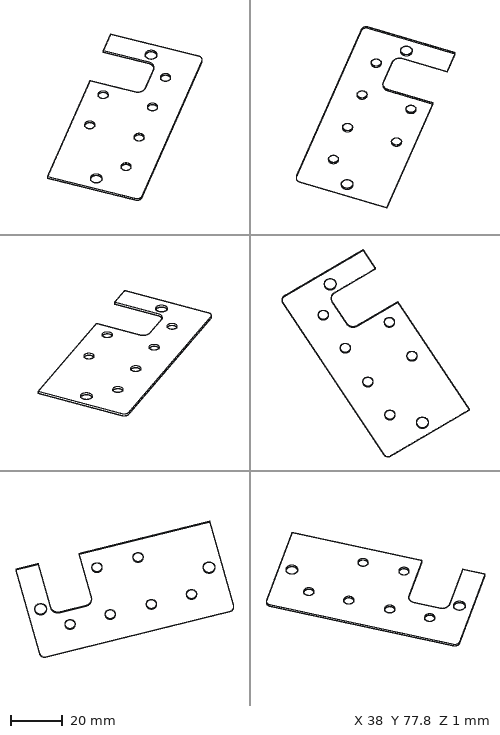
import cadquery as cq

width = 38.0
length = 77.85
thickness = 1.0
corner_radius = 1.95

notch_end_x = 2.6
notch_bottom_y = 13.55
notch_top_y = 29.9
notch_radius = 2.95

large_diameter = 4.6
large_x = -0.7
large_y = 33.8
small_diameter = 4.0
right_column_x = 8.3
left_column_x = -11.8
inner_row_y = 8.25
outer_row_y = 24.4


def mirrored_pairs(points):
    """Return every point together with its mirror image in Y."""
    return [(x, side * y) for x, y in points for side in (1, -1)]


def make_plate():
    """Flat plate with only its +X corners rounded."""
    plate = cq.Workplane("XY").box(width, length, thickness, centered=(True, True, False))
    return plate.edges("|Z and >X").fillet(corner_radius)


def make_notch():
    """Cutter for the side notch, with rounded inner corners."""
    notch = cq.Workplane("XY").box(
        notch_end_x + width / 2,
        notch_top_y - notch_bottom_y,
        thickness,
        centered=False,
    )
    notch = notch.edges("|Z and >X").fillet(notch_radius)
    return notch.translate((-width / 2, notch_bottom_y, 0))


def drill(plate, points, diameter):
    """Cut through holes at the given points."""
    cutters = cq.Workplane("XY").pushPoints(points).circle(diameter / 2).extrude(thickness)
    return plate.cut(cutters)


large_holes = mirrored_pairs([(large_x, large_y)])
small_holes = mirrored_pairs([
    (right_column_x, inner_row_y),
    (right_column_x, outer_row_y),
    (left_column_x, inner_row_y),
])

result = make_plate().cut(make_notch())
result = drill(result, large_holes, large_diameter)
result = drill(result, small_holes, small_diameter)